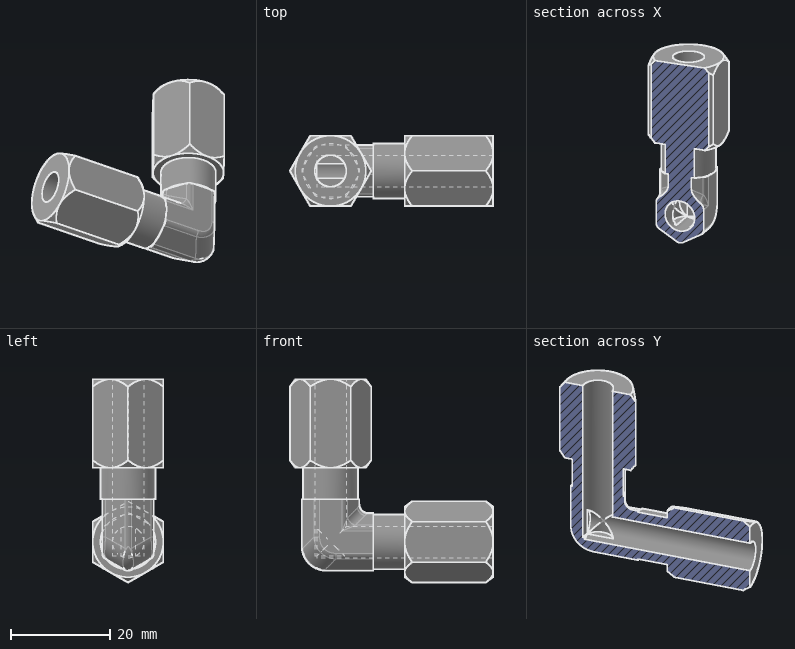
import cadquery as cq
import math


END_DISTANCE = 32.77
NUT_LENGTH = 17.84
NUT_ACROSS_FLATS = 14.22
NUT_CHAMFER_HEIGHT = 1.5

COLLAR_DIAMETER = 11.12

BORE_DIAMETER = 6.35
BORE_OVERRUN = 2.8

BODY_LEG = 8.64
BODY_ACROSS_FLATS = 10.46
BODY_EDGE_RADIUS = 1.33
OUTER_BEND_RADIUS = 5.1
INNER_BEND_RADIUS = 1.75
CREST_BEND_RADIUS = 5.0
CREST_ROUND_RADIUS = 2.4
BLEND_TRIM = 0.01

CORNER_RATIO = 2 / math.sqrt(3)
NUT_START = END_DISTANCE - NUT_LENGTH
COLLAR_LENGTH = NUT_START - BODY_LEG
BODY_CORNER_RADIUS = BODY_ACROSS_FLATS / 2 * CORNER_RATIO
CREST_DISTANCE = BODY_CORNER_RADIUS - BODY_EDGE_RADIUS * (CORNER_RATIO - 1)

TOLERANCE = 1e-4


def plane_at(height):
    return cq.Workplane("XY").workplane(offset=height)


def hexagon(across_flats, height):
    """Hexagon around the Z axis with flats facing +Y and -Y."""
    return plane_at(height).polygon(6, across_flats * CORNER_RATIO)


def on_x_leg(leg):
    """Swing a part of the Z leg onto the X axis."""
    return leg.rotate((0, 0, 0), (0, 1, 0), 90)


def crosses_mitre(edge):
    """True for a sloping edge in the mitre plane, where the two legs meet."""
    return all(abs(v.X - v.Z) < TOLERANCE for v in edge.Vertices())


def follows_leg(edge):
    """True for an edge that keeps its Y position and is not on an end face."""
    constant_y = abs(edge.startPoint().y - edge.endPoint().y) < TOLERANCE
    center = edge.Center()
    return constant_y and max(center.x, center.z) < BODY_LEG - TOLERANCE


def make_sharp_body():
    """Mitred hexagonal elbow with sharp edges."""
    path = cq.Workplane("XZ").moveTo(0, BODY_LEG).lineTo(0, 0).lineTo(BODY_LEG, 0)
    return hexagon(BODY_ACROSS_FLATS, BODY_LEG).sweep(path, transition="right").clean()


def blend_inner_bend(body):
    """Fill the inner mitre with a blend that tapers to a point at each side flat.

    The blend vanishes at the flats, so it is made on a slightly thinner copy.
    """
    thickness = BODY_ACROSS_FLATS - 2 * BLEND_TRIM
    envelope = 4 * BODY_LEG
    core = body.intersect(cq.Workplane("XY").box(envelope, thickness, envelope))
    inner_mitre = core.edges().filter(lambda e: crosses_mitre(e) and e.Center().x > 0)
    return body.union(inner_mitre.fillet(INNER_BEND_RADIUS))


def make_crest_cutter():
    """Quarter ring that trims the outer crest of the bend to a fuller rounding."""
    half_width = CREST_ROUND_RADIUS * math.sin(math.pi / 4)
    side_radius = CREST_BEND_RADIUS - (CREST_ROUND_RADIUS - half_width)
    outer_radius = CREST_BEND_RADIUS + BODY_EDGE_RADIUS
    bend_center = CREST_BEND_RADIUS - CREST_DISTANCE
    return (
        cq.Workplane("XY")
        .moveTo(-side_radius, -half_width)
        .threePointArc((-CREST_BEND_RADIUS, 0), (-side_radius, half_width))
        .lineTo(-outer_radius, half_width)
        .lineTo(-outer_radius, -half_width)
        .close()
        .revolve(90, (0, 0), (0, -1))
        .translate((bend_center, 0, bend_center))
    )


def make_body():
    """Hexagonal elbow with rounded bends and rounded long edges."""
    body = make_sharp_body()
    outer_mitre = body.edges().filter(lambda e: crosses_mitre(e) and e.Center().x < 0)
    body = outer_mitre.fillet(OUTER_BEND_RADIUS)
    body = body.edges().filter(follows_leg).fillet(BODY_EDGE_RADIUS)
    return blend_inner_bend(body).cut(make_crest_cutter())


def make_nut():
    """Hexagonal nut whose corners are turned down conically at both ends."""
    face_radius = NUT_ACROSS_FLATS / 2
    corner_radius = face_radius * CORNER_RATIO
    turned_blank = (
        cq.Workplane("XZ")
        .moveTo(0, NUT_START)
        .lineTo(face_radius, NUT_START)
        .lineTo(corner_radius, NUT_START + NUT_CHAMFER_HEIGHT)
        .lineTo(corner_radius, END_DISTANCE - NUT_CHAMFER_HEIGHT)
        .lineTo(face_radius, END_DISTANCE)
        .lineTo(0, END_DISTANCE)
        .close()
        .revolve(360, (0, 0), (0, 1))
    )
    return hexagon(NUT_ACROSS_FLATS, NUT_START).extrude(NUT_LENGTH).intersect(turned_blank)


def make_leg():
    """Collar and nut of the Z leg."""
    collar = plane_at(BODY_LEG).circle(COLLAR_DIAMETER / 2).extrude(COLLAR_LENGTH)
    return collar.union(make_nut())


def make_bore():
    """Blind bore of the Z leg, from the nut face to just past the axis crossing."""
    return plane_at(-BORE_OVERRUN).circle(BORE_DIAMETER / 2).extrude(END_DISTANCE + BORE_OVERRUN)


leg = make_leg()
bore = make_bore()
result = make_body().union(leg).union(on_x_leg(leg)).cut(bore).cut(on_x_leg(bore))